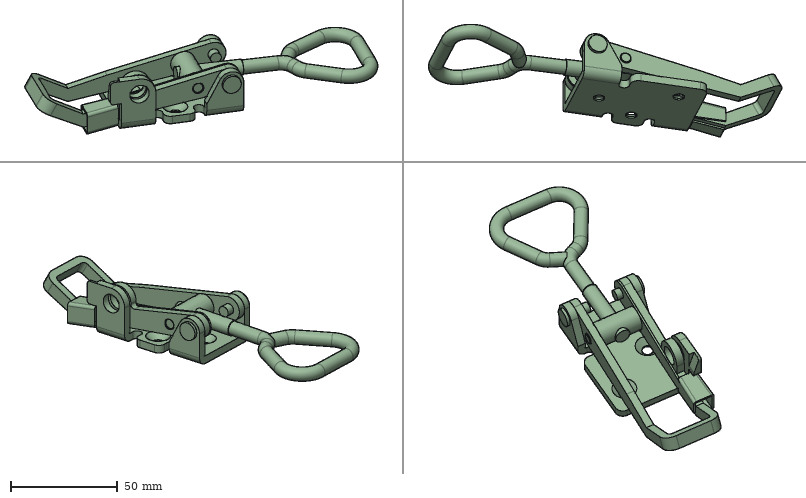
import cadquery as cq
import math


SHEET = 4.0
LEVER_HALF_WIDTH = 15.3
LEVER_INNER = LEVER_HALF_WIDTH - SHEET
LUG_OUTER = LEVER_HALF_WIDTH + SHEET
PIVOT_Z = 17.0
END_RADIUS = 6.2
PIVOT_RADIUS = 2.7

BASE_REAR_Y = -54.0
LUG_REAR_Y = -12.0
LUG_CORNER_Z = 7.7
BASE_BEND_RADIUS = 4.3
SLOT_WIDTH = 5.0
SLOT_END_X = 12.0
TAB_FRONT_Y = LUG_REAR_Y - SLOT_WIDTH
LEFT_TAB_X = 20.3
RIGHT_TAB_X = 19.8
RIGHT_TAB_REAR_Y = -32.3
LEFT_TAB_CORNER = 4.0
RIGHT_TAB_CORNER = 3.3
SCREW_HOLE_RADIUS = 2.7
COUNTERSINK_RADIUS = 5.8
SCREW_HOLES = [(0, -6.2), (11.0, -25.0), (-11.0, -42.1)]

EYE_Y = -45.3
EYE_Z = 18.6
EYE_HOLE_RADIUS = 4.7
EYE_RADIUS = 7.5
EYE_FILLET = 1.8
HOOK_OUTER = 20.8
HOOK_INNER = HOOK_OUTER - SHEET
HOOK_TOP_Z = 26.6
HOOK_RADIUS = HOOK_TOP_Z - EYE_Z
HOOK_FRONT_Y = EYE_Y + HOOK_RADIUS
HOOK_TIP_Y = -59.5
HOOK_TIP_Z = 14.8
HOOK_CORNER = 1.7
HOOK_NECK_FILLET = 0.7
BEVEL_Y = -54.7
BEVEL_Z = 18.0
BEVEL_DEPTH = 2.7

LEVER_TOP_BREAK = (-52.0, 13.3)
LEVER_BEND_TOP = (-71.2, 9.0)
LEVER_BEND_BOTTOM = (-71.2, 2.0)
GRIP_LENGTH = 20.8
GRIP_HEIGHT = 6.8
GRIP_ANGLE = math.radians(29.3)
GRIP_INNER_RADIUS = 2.0
GRIP_OUTER_RADIUS = GRIP_INNER_RADIUS + SHEET

CATCH_SHEET = 1.0
CATCH_INNER = LEVER_INNER - CATCH_SHEET
CATCH_BEND_RADIUS = 1.5
CATCH_FRONT_Y = -55.5
CATCH_REAR_Y = -70.9
CATCH_SLOPE = math.radians(7.2)
CATCH_TOP_Z = 13.8
CATCH_BOTTOM_Z = 2.7
CATCH_FRONT_X = 20.3
CATCH_REAR_X = 21.3
CATCH_PLATE_REAR = (CATCH_REAR_Y, 4.0)
CATCH_LIP_X = 13.1

BARREL_Y = -15.0
BARREL_Z = 14.5
BARREL_RADIUS = 6.0
BARREL_CENTRE_X = (CATCH_INNER - LEVER_INNER) / 2
TRUNNION_RADIUS = 2.7
TRUNNION_END_X = -15.8
TRUNNION_LENGTH = 2 * (BARREL_CENTRE_X - TRUNNION_END_X)
TRUNNION_CHAMFER = 0.3

ROD_TILT = 1.1
SHANK_RADIUS = 3.8
SHANK_REAR_Y = -21.6
SHANK_FRONT_Y = 10.6
WIRE_DIAMETER = 6.8
WIRE_RADIUS = WIRE_DIAMETER / 2
NECK_Y = 28.0
NECK_RADIUS = 7.2
NECK_ANGLE = 65
SHOULDER_STRAIGHT = 3.7
SHOULDER_RADIUS = 8.2
SIDE_ANGLE = 30
LOOP_WIDTH = 49.5
LOOP_CORNER_RADIUS = 10.5
LOOP_BAR_HALF = LOOP_WIDTH / 2 - WIRE_RADIUS - LOOP_CORNER_RADIUS

RIVET_HEAD_RADIUS = 4.5
RIVET_HEAD_HEIGHT = 1.5
RIVET_INNER_X = 7.2


def box(x_range, y_range, z_range):
    size = [high - low for low, high in (x_range, y_range, z_range)]
    return cq.Workplane("XY").box(*size, centered=False).translate(
        (x_range[0], y_range[0], z_range[0])
    )


def cross_cylinder(radius, x_start, x_end, y, z):
    """Cylinder along X."""
    plane = cq.Workplane("YZ", origin=(x_start, 0, 0))
    return plane.center(y, z).circle(radius).extrude(x_end - x_start)


def end_tangent(point, side):
    """Touch point on the rounded pivot end of a line from point; side is 1 above, -1 below."""
    dy = point[0]
    dz = point[1] - PIVOT_Z
    angle = math.atan2(dz, dy) - side * math.acos(END_RADIUS / math.hypot(dy, dz))
    return (END_RADIUS * math.cos(angle), PIVOT_Z + END_RADIUS * math.sin(angle))


def lug(x_start):
    corner = (LUG_REAR_Y, LUG_CORNER_Z)
    half = END_RADIUS * math.sqrt(0.5)
    return (
        cq.Workplane("YZ", origin=(x_start, 0, 0))
        .moveTo(LUG_REAR_Y, 0)
        .lineTo(*corner)
        .lineTo(*end_tangent(corner, 1))
        .threePointArc((half, PIVOT_Z + half), (END_RADIUS, PIVOT_Z))
        .lineTo(END_RADIUS, 0)
        .close()
        .extrude(SHEET)
    )


def lug_channel():
    floor = box((-LUG_OUTER, LUG_OUTER), (LUG_REAR_Y, END_RADIUS), (0, SHEET))
    channel = floor.union(lug(-LUG_OUTER)).union(lug(LEVER_HALF_WIDTH))
    return channel.edges("|Y").edges("<Z").fillet(BASE_BEND_RADIUS)


def hook_plate():
    half = HOOK_RADIUS * math.sqrt(0.5)
    plate = (
        cq.Workplane("YZ", origin=(HOOK_INNER, 0, 0))
        .moveTo(HOOK_FRONT_Y, 0)
        .lineTo(HOOK_FRONT_Y, EYE_Z)
        .threePointArc((EYE_Y + half, EYE_Z + half), (EYE_Y, HOOK_TOP_Z))
        .lineTo(HOOK_TIP_Y, HOOK_TOP_Z)
        .lineTo(HOOK_TIP_Y, HOOK_TIP_Z)
        .lineTo(BASE_REAR_Y, HOOK_TIP_Z)
        .lineTo(BASE_REAR_Y, 0)
        .close()
        .extrude(SHEET)
    )
    plate = plate.edges("|X").edges("<Y").fillet(HOOK_CORNER)
    neck = cq.selectors.NearestToPointSelector((HOOK_INNER + SHEET / 2, BASE_REAR_Y, HOOK_TIP_Z))
    plate = plate.edges("|X").edges(neck).fillet(HOOK_NECK_FILLET)
    bevel = (
        cq.Workplane("XZ", origin=(0, BEVEL_Y, 0))
        .polyline([
            (HOOK_INNER, BEVEL_Z),
            (HOOK_INNER + BEVEL_DEPTH, HOOK_TOP_Z),
            (HOOK_INNER, HOOK_TOP_Z),
        ])
        .close()
        .extrude(BEVEL_Y - HOOK_TIP_Y)
    )
    return plate.cut(bevel)


def folded_hook():
    floor = box((0, HOOK_OUTER), (BASE_REAR_Y, HOOK_FRONT_Y), (0, SHEET))
    hook = floor.union(hook_plate())
    hook = hook.edges("|Y").edges("<Z").edges(">X").fillet(BASE_BEND_RADIUS)
    return hook.cut(cross_cylinder(EYE_HOLE_RADIUS, HOOK_INNER, HOOK_OUTER, EYE_Y, EYE_Z))


def relief_slot(side, rear_y):
    length = 2 * (LEFT_TAB_X - SLOT_END_X)
    centre = (side * LEFT_TAB_X, rear_y + SLOT_WIDTH / 2)
    return cq.Workplane("XY").center(*centre).slot2D(length, SLOT_WIDTH).extrude(SHEET)


def make_base():
    core_half = SLOT_END_X + SLOT_WIDTH / 2
    core = box((-core_half, core_half), (HOOK_FRONT_Y, LUG_REAR_Y), (0, SHEET))
    left_tab = box((-LEFT_TAB_X, 0), (BASE_REAR_Y, TAB_FRONT_Y), (0, SHEET))
    left_tab = left_tab.edges("|Z").edges("<X").fillet(LEFT_TAB_CORNER)
    right_tab = box((0, RIGHT_TAB_X), (RIGHT_TAB_REAR_Y, TAB_FRONT_Y), (0, SHEET))
    right_tab = right_tab.edges("|Z").edges(">X").fillet(RIGHT_TAB_CORNER)
    base = core.union(left_tab).union(right_tab)
    for side, rear_y in ((-1, TAB_FRONT_Y), (1, TAB_FRONT_Y), (1, HOOK_FRONT_Y)):
        base = base.cut(relief_slot(side, rear_y))
    base = base.union(lug_channel()).union(folded_hook())
    cone_depth = COUNTERSINK_RADIUS - SCREW_HOLE_RADIUS
    for x, y in SCREW_HOLES:
        hole = cq.Workplane("XY").center(x, y).circle(SCREW_HOLE_RADIUS).extrude(SHEET)
        cone = cq.Solid.makeCone(
            SCREW_HOLE_RADIUS, COUNTERSINK_RADIUS, cone_depth, pnt=cq.Vector(x, y, SHEET - cone_depth)
        )
        base = base.cut(hole).cut(cq.Workplane(cone))
    for x_start in (-LUG_OUTER, LEVER_HALF_WIDTH):
        base = base.cut(cross_cylinder(PIVOT_RADIUS, x_start, x_start + SHEET, 0, PIVOT_Z))
    return base


def grip_point(along, down):
    """(Y, Z) of a point in the grip: along it from the bend, and down from its top edge."""
    y = LEVER_BEND_TOP[0] - along * math.cos(GRIP_ANGLE) - down * math.sin(GRIP_ANGLE)
    z = LEVER_BEND_TOP[1] + along * math.sin(GRIP_ANGLE) - down * math.cos(GRIP_ANGLE)
    return (y, z)


def lever_blank():
    """Side profile of the lever over its whole width, with the grip corners rounded."""
    blank = (
        cq.Workplane("YZ", origin=(-LEVER_HALF_WIDTH, 0, 0))
        .moveTo(*end_tangent(LEVER_TOP_BREAK, 1))
        .lineTo(*LEVER_TOP_BREAK)
        .lineTo(*LEVER_BEND_TOP)
        .lineTo(*grip_point(GRIP_LENGTH, 0))
        .lineTo(*grip_point(GRIP_LENGTH, GRIP_HEIGHT))
        .lineTo(*LEVER_BEND_BOTTOM)
        .lineTo(*end_tangent(LEVER_BEND_BOTTOM, -1))
        .threePointArc((END_RADIUS, PIVOT_Z), end_tangent(LEVER_TOP_BREAK, 1))
        .close()
        .extrude(2 * LEVER_HALF_WIDTH)
    )
    tip_y, tip_z = grip_point(GRIP_LENGTH, GRIP_HEIGHT / 2)
    for x in (-LEVER_HALF_WIDTH, LEVER_HALF_WIDTH):
        corner = cq.selectors.NearestToPointSelector((x, tip_y, tip_z))
        blank = blank.edges(corner).fillet(GRIP_OUTER_RADIUS)
    return blank


def lever_opening():
    """Space between the arms, square to the grip and long enough to clear the pivot end."""
    reach = 2 * abs(LEVER_BEND_TOP[0])
    opening = (
        cq.Workplane("XY")
        .box(2 * LEVER_INNER, reach, reach, centered=(True, False, True))
        .edges("|Z").edges("<Y").fillet(GRIP_INNER_RADIUS)
        .rotate((0, 0, 0), (1, 0, 0), -math.degrees(GRIP_ANGLE))
    )
    return opening.translate((0, *grip_point(GRIP_LENGTH - SHEET, 0)))


def padlock_eye():
    """Ring standing on the right arm, with straight flanks that run down into the arm."""
    ring = cross_cylinder(EYE_RADIUS, LEVER_INNER, LEVER_HALF_WIDTH, EYE_Y, EYE_Z)
    foot = box(
        (LEVER_INNER, LEVER_HALF_WIDTH),
        (EYE_Y - EYE_RADIUS, EYE_Y + EYE_RADIUS),
        (LEVER_BEND_TOP[1], EYE_Z),
    )
    return ring.union(foot)


def make_lever():
    lever = lever_blank().cut(lever_opening()).union(padlock_eye())
    eye_front_y = EYE_Y + EYE_RADIUS
    start_y, start_z = end_tangent(LEVER_TOP_BREAK, 1)
    slope = (LEVER_TOP_BREAK[1] - start_z) / (LEVER_TOP_BREAK[0] - start_y)
    eye_root_z = start_z + slope * (eye_front_y - start_y)
    root = cq.selectors.NearestToPointSelector((LEVER_HALF_WIDTH - SHEET / 2, eye_front_y, eye_root_z))
    lever = lever.edges("|X").edges(root).fillet(EYE_FILLET)
    lever = lever.cut(
        cross_cylinder(EYE_HOLE_RADIUS, LEVER_INNER, LEVER_HALF_WIDTH, EYE_Y, EYE_Z)
    )
    pivot = cross_cylinder(PIVOT_RADIUS, -LEVER_HALF_WIDTH, LEVER_HALF_WIDTH, 0, PIVOT_Z)
    trunnion = cross_cylinder(TRUNNION_RADIUS, -LEVER_HALF_WIDTH, LEVER_HALF_WIDTH, BARREL_Y, BARREL_Z)
    return lever.cut(pivot).cut(trunnion)


def catch_plate():
    """Flat plate lying against the inside of the right lever arm."""
    return (
        cq.Workplane("YZ", origin=(CATCH_INNER, 0, 0))
        .moveTo(*end_tangent(LEVER_TOP_BREAK, 1))
        .lineTo(*LEVER_TOP_BREAK)
        .lineTo(CATCH_REAR_Y, LEVER_BEND_TOP[1])
        .lineTo(*CATCH_PLATE_REAR)
        .lineTo(*end_tangent(CATCH_PLATE_REAR, -1))
        .threePointArc((END_RADIUS, PIVOT_Z), end_tangent(LEVER_TOP_BREAK, 1))
        .close()
        .extrude(CATCH_SHEET)
    )


def catch_prism(inset):
    """Sloping four-sided block behind the hook, with its walls and floors moved in by inset."""
    drop = (CATCH_FRONT_Y - CATCH_REAR_Y) * math.tan(CATCH_SLOPE)
    top = CATCH_TOP_Z - inset
    bottom = CATCH_BOTTOM_Z + inset
    side = cq.Workplane("YZ").polyline([
        (CATCH_FRONT_Y, bottom),
        (CATCH_FRONT_Y, top),
        (CATCH_REAR_Y, top - drop),
        (CATCH_REAR_Y, bottom - drop),
    ]).close().extrude(CATCH_REAR_X)
    plan = cq.Workplane("XY").polyline([
        (CATCH_INNER + inset, CATCH_FRONT_Y),
        (CATCH_FRONT_X - inset, CATCH_FRONT_Y),
        (CATCH_REAR_X - inset, CATCH_REAR_Y),
        (CATCH_INNER + inset, CATCH_REAR_Y),
    ]).close().extrude(CATCH_TOP_Z)
    plan = plan.union(plan.mirror("XY"))
    return side.intersect(plan)


def catch_sleeve():
    """Sheet folded over the arm: top flange, flared outer wall and a bottom flange."""
    outside = catch_prism(0)
    outside = outside.edges("not(|X or |Z)").fillet(CATCH_BEND_RADIUS)
    gap = box(
        (CATCH_INNER, CATCH_LIP_X), (CATCH_REAR_Y, CATCH_FRONT_Y), (-CATCH_TOP_Z, CATCH_PLATE_REAR[1])
    )
    return outside.cut(catch_prism(CATCH_SHEET)).cut(gap)


def make_catch():
    catch = catch_plate().union(catch_sleeve())
    pivot = cross_cylinder(PIVOT_RADIUS, CATCH_INNER, LEVER_INNER, 0, PIVOT_Z)
    trunnion = cross_cylinder(TRUNNION_RADIUS, CATCH_INNER, LEVER_INNER, BARREL_Y, BARREL_Z)
    return catch.cut(pivot).cut(trunnion)


def tilted(body):
    """Tilt a body that lies along Y about the barrel axis and place it there."""
    return body.rotate((0, BARREL_Y, 0), (1, BARREL_Y, 0), -ROD_TILT).translate(
        (BARREL_CENTRE_X, 0, BARREL_Z)
    )


def make_shank():
    length = SHANK_FRONT_Y - SHANK_REAR_Y
    return cq.Workplane("XZ", origin=(0, SHANK_FRONT_Y, 0)).circle(SHANK_RADIUS).extrude(length)


class WirePath:
    """Bent wire centre line, drawn by straight runs and bends; heading is in degrees from +X."""

    def __init__(self, x, y, heading):
        self.x = x
        self.y = y
        self.heading = heading
        self.edges = []

    def run(self, length):
        angle = math.radians(self.heading)
        start = cq.Vector(self.x, self.y, 0)
        self.x += length * math.cos(angle)
        self.y += length * math.sin(angle)
        self.edges.append(cq.Edge.makeLine(start, cq.Vector(self.x, self.y, 0)))

    def bend(self, radius, turn):
        """Turn left by a positive angle or right by a negative one."""
        to_centre = math.radians(self.heading + math.copysign(90, turn))
        centre = cq.Vector(
            self.x + radius * math.cos(to_centre), self.y + radius * math.sin(to_centre), 0
        )
        points = []
        for share in (0, 0.5, 1):
            angle = to_centre + math.pi + math.radians(share * turn)
            points.append(centre + cq.Vector(radius * math.cos(angle), radius * math.sin(angle), 0))
        self.edges.append(cq.Edge.makeThreePointArc(*points))
        self.x = points[2].x
        self.y = points[2].y
        self.heading += turn


def wire_along(edges):
    start = edges[0].startPoint()
    profile = cq.Workplane(cq.Plane(origin=start, normal=edges[0].tangentAt(0))).circle(WIRE_RADIUS)
    return profile.sweep(cq.Workplane(cq.Wire.assembleEdges(edges)))


def make_loop():
    """Rounded triangle of wire that leaves the neck to the right and returns to it on the left."""
    path = WirePath(0, SHANK_FRONT_Y, 90)
    path.run(NECK_Y - SHANK_FRONT_Y)
    path.bend(NECK_RADIUS, -NECK_ANGLE)
    neck_end_x = path.x
    path.run(SHOULDER_STRAIGHT)
    path.bend(SHOULDER_RADIUS, NECK_ANGLE - SIDE_ANGLE)
    side = math.radians(SIDE_ANGLE)
    side_run = (LOOP_BAR_HALF + LOOP_CORNER_RADIUS * math.cos(side) - path.x) / math.sin(side)
    path.run(side_run)
    path.bend(LOOP_CORNER_RADIUS, 90 + SIDE_ANGLE)
    path.run(2 * LOOP_BAR_HALF)
    path.bend(LOOP_CORNER_RADIUS, 90 + SIDE_ANGLE)
    path.run(side_run)
    path.bend(SHOULDER_RADIUS, NECK_ANGLE - SIDE_ANGLE)
    closing = WirePath(path.x, path.y, path.heading)
    closing.run(SHOULDER_STRAIGHT + neck_end_x / math.sin(math.radians(NECK_ANGLE)))
    return wire_along(path.edges).union(wire_along(closing.edges))


def make_eye_rod():
    return tilted(make_shank().union(make_loop()))


def make_barrel():
    drum = cross_cylinder(BARREL_RADIUS, -LEVER_INNER, CATCH_INNER, BARREL_Y, BARREL_Z)
    trunnions = cross_cylinder(
        TRUNNION_RADIUS, TRUNNION_END_X, TRUNNION_END_X + TRUNNION_LENGTH, BARREL_Y, BARREL_Z
    )
    trunnions = trunnions.edges().chamfer(TRUNNION_CHAMFER)
    return drum.union(trunnions).cut(tilted(make_shank()))


def make_rivet(side):
    shank = cross_cylinder(PIVOT_RADIUS, RIVET_INNER_X, LUG_OUTER, 0, PIVOT_Z)
    head = cross_cylinder(RIVET_HEAD_RADIUS, LUG_OUTER, LUG_OUTER + RIVET_HEAD_HEIGHT, 0, PIVOT_Z)
    rivet = shank.union(head)
    return rivet if side > 0 else rivet.mirror("YZ")


base = make_base()
lever = make_lever()
catch = make_catch()
eye_rod = make_eye_rod()
barrel = make_barrel()
rivets = [make_rivet(side) for side in (-1, 1)]

bodies = [base, lever, catch, eye_rod, barrel, *rivets]
result = cq.Compound.makeCompound([body.solids().val() for body in bodies])